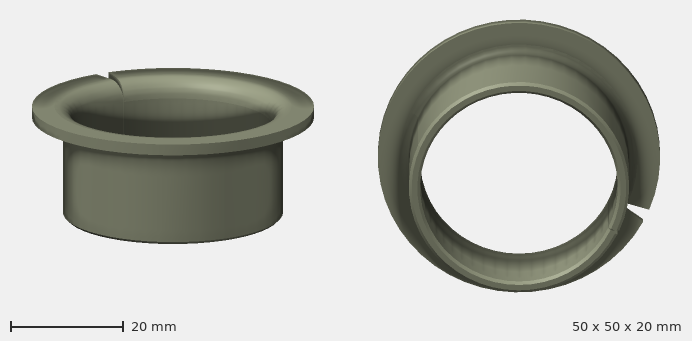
import cadquery as cq

flange_diameter = 50.0
bore_diameter = 35.0
wall = 2.0
height = 20.0
outer_fillet = 1.5
bottom_chamfer = 0.5

flange_radius = flange_diameter / 2
bore_radius = bore_diameter / 2
body_radius = bore_radius + wall
flange_bottom = height - wall
flare_radius = outer_fillet + wall

split_tip_x = -17.25
split_tip_y = -0.55
split_upper_y = 0.4
split_lower_y = -2.2


def make_bushing():
    """Revolve the wall section, drawn with X as radius and Y as height."""
    profile = (
        cq.Workplane("XZ")
        .moveTo(bore_radius, bottom_chamfer)
        .lineTo(bore_radius + bottom_chamfer, 0)
        .lineTo(body_radius - bottom_chamfer, 0)
        .lineTo(body_radius, bottom_chamfer)
        .lineTo(body_radius, flange_bottom - outer_fillet)
        .radiusArc((body_radius + outer_fillet, flange_bottom), outer_fillet)
        .lineTo(flange_radius, flange_bottom)
        .lineTo(flange_radius, height)
        .lineTo(bore_radius + flare_radius, height)
        .radiusArc((bore_radius, height - flare_radius), -flare_radius)
        .close()
    )
    return profile.revolve(360, (0, 0), (0, 1))


def make_split():
    """Wedge whose faces meet the flange rim at the two split edges."""
    stretch = 1.2
    tip_to_rim = flange_radius + split_tip_x
    outer_x = split_tip_x - stretch * tip_to_rim
    upper_y = split_tip_y + stretch * (split_upper_y - split_tip_y)
    lower_y = split_tip_y + stretch * (split_lower_y - split_tip_y)
    return (
        cq.Workplane("XY")
        .moveTo(split_tip_x, split_tip_y)
        .lineTo(outer_x, upper_y)
        .lineTo(outer_x, lower_y)
        .close()
        .extrude(height)
    )


result = make_bushing().cut(make_split())